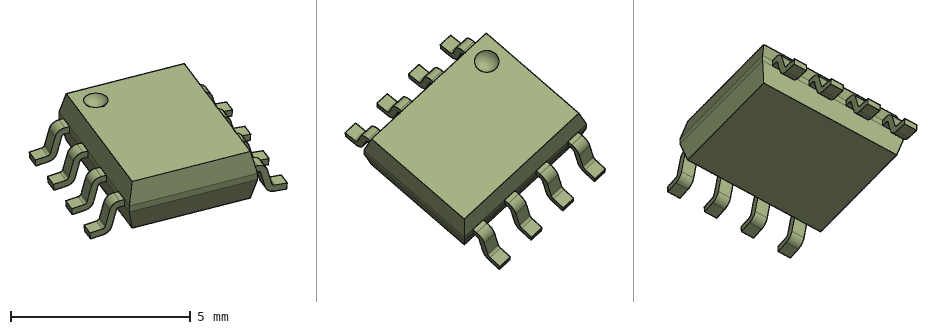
import cadquery as cq
import math

body_length = 4.9
body_width = 3.9
overall_height = 1.75
standoff = 0.15
belt_height = 0.21
draft_angle = 12.5
body_height = overall_height - standoff
half_height = (body_height - belt_height) / 2
belt_bottom = standoff + half_height
belt_top = belt_bottom + belt_height

lead_span = 6.0
lead_width = 0.42
lead_pitch = 1.27
leads_per_side = 4
lead_thickness = belt_height
inner_radius = 0.1
outer_radius = inner_radius + lead_thickness
leg_lean = math.radians(15)
foot_slope = math.radians(5)
foot_length = 0.38
lead_embed = 0.2

dimple_diameter = 0.68
dimple_depth = 0.2
dimple_inset = 0.78


def polar_point(center, radius, angle):
    """Point at the given radius and angle about a (y, z) center."""
    return (center[0] + radius * math.cos(angle), center[1] + radius * math.sin(angle))


def make_body():
    """Straight belt with a tapered half above it and another below it."""
    belt = cq.Workplane("XY", origin=(0, 0, belt_bottom)).rect(body_length, body_width).extrude(belt_height)
    upper = belt.faces(">Z").workplane().rect(body_length, body_width).extrude(half_height, taper=draft_angle)
    return upper.faces("<Z").workplane().rect(body_length, body_width).extrude(half_height, taper=draft_angle)


def make_lead():
    """Lead centered on X = 0, leaving the body toward +Y."""
    shoulder_z = belt_top - outer_radius
    centers_apart = outer_radius + inner_radius
    leg_drop = (
        shoulder_z
        + centers_apart * math.sin(leg_lean)
        - outer_radius * math.cos(foot_slope)
        - foot_length * math.sin(foot_slope)
    )
    leg_run = leg_drop * math.tan(leg_lean)

    heel_y = lead_span / 2 + inner_radius * math.sin(foot_slope) - foot_length * math.cos(foot_slope)
    shoulder_y = heel_y - centers_apart * math.cos(leg_lean) - leg_run
    shoulder = (shoulder_y, shoulder_z)
    heel = (heel_y, shoulder_z + centers_apart * math.sin(leg_lean) - leg_drop)

    shoulder_start = math.pi / 2
    shoulder_end = leg_lean
    shoulder_middle = (shoulder_start + shoulder_end) / 2
    heel_start = math.pi + leg_lean
    heel_end = 3 * math.pi / 2 - foot_slope
    heel_middle = (heel_start + heel_end) / 2

    def toe_point(radius):
        y, z = polar_point(heel, radius, heel_end)
        return (y + foot_length * math.cos(foot_slope), z - foot_length * math.sin(foot_slope))

    root_y = body_width / 2 - lead_embed
    profile = (
        cq.Workplane("YZ", origin=(-lead_width / 2, 0, 0))
        .moveTo(root_y, belt_top)
        .lineTo(*polar_point(shoulder, outer_radius, shoulder_start))
        .threePointArc(
            polar_point(shoulder, outer_radius, shoulder_middle),
            polar_point(shoulder, outer_radius, shoulder_end),
        )
        .lineTo(*polar_point(heel, inner_radius, heel_start))
        .threePointArc(
            polar_point(heel, inner_radius, heel_middle),
            polar_point(heel, inner_radius, heel_end),
        )
        .lineTo(*toe_point(inner_radius))
        .lineTo(*toe_point(outer_radius))
        .lineTo(*polar_point(heel, outer_radius, heel_end))
        .threePointArc(
            polar_point(heel, outer_radius, heel_middle),
            polar_point(heel, outer_radius, heel_start),
        )
        .lineTo(*polar_point(shoulder, inner_radius, shoulder_end))
        .threePointArc(
            polar_point(shoulder, inner_radius, shoulder_middle),
            polar_point(shoulder, inner_radius, shoulder_start),
        )
        .lineTo(root_y, belt_top - lead_thickness)
        .close()
    )
    return profile.extrude(lead_width)


def make_dimple():
    """Ball cutter sunk into the top face near the pin 1 corner, leaving a shallow spherical cap."""
    rim_radius = dimple_diameter / 2
    ball_radius = (rim_radius**2 + dimple_depth**2) / (2 * dimple_depth)
    dimple_x = dimple_inset - body_length / 2
    dimple_y = dimple_inset - body_width / 2
    ball_z = overall_height - dimple_depth + ball_radius
    return cq.Workplane("XY", origin=(dimple_x, dimple_y, ball_z)).sphere(ball_radius)


result = make_body()
lead = make_lead()
opposite_lead = lead.mirror("XZ")
for index in range(leads_per_side):
    lead_x = (index - (leads_per_side - 1) / 2) * lead_pitch
    for side_lead in (lead, opposite_lead):
        result = result.union(side_lead.translate((lead_x, 0, 0)))
result = result.cut(make_dimple())